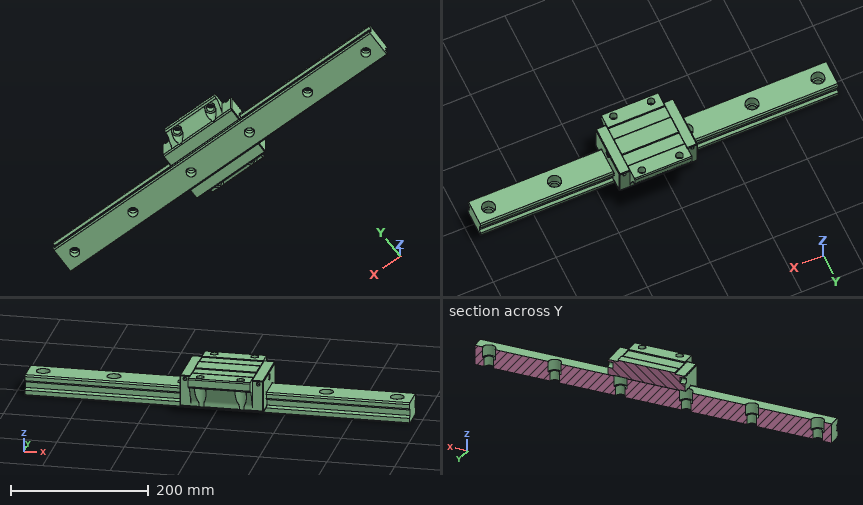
import cadquery as cq

rail_length = 570.0
rail_width = 45.0
rail_height = 32.5
rail_top_chamfer = 2.0
waist_width = 36.5
head_side_bottom = 24.0
waist_top = 20.5
waist_bottom = 12.0
base_side_top = 9.0
base_chamfer = 2.0

rail_hole_count = 6
rail_hole_pitch = 105.0
rail_bore_diameter = 14.0
rail_counterbore_diameter = 20.0
rail_counterbore_depth = 17.0

carriage_x = 11.0
total_height = 60.0
carriage_bottom = base_side_top
carriage_width = 85.0
bottom_chamfer = 2.0
body_length = 91.0

flange_width = 120.0
flange_thickness = 15.5
flange_top_chamfer = 1.5
flange_bottom_chamfer = 3.0
slope_top_width = 106.0
slope_bottom = 18.0
flange_root_fillet = 5.5
slope_bottom_fillet = 11.5

groove_inner = 13.5
groove_outer = 35.5
groove_depth = 1.0

bolt_spacing_x = 60.0
bolt_spacing_y = 100.0
bolt_hole_diameter = 11.0
bolt_relief_diameter = 16.5

cap_length = 16.5
cap_top = 57.5
cap_top_chamfer = 1.0
cap_end_chamfer = 1.0
grease_hole_diameter = 8.5
grease_hole_z = 49.0
grease_hole_depth = 8.5
side_hole_diameter = 5.2
side_hole_z = 52.5
side_hole_spacing = 108.5
side_hole_depth = 5.5

flange_bottom = total_height - flange_thickness


def mirrored_prism(right_half, length, middle_x):
    """Extrude a Y-Z outline, given by its +Y half from bottom to top, along X."""
    left_half = [(-y, z) for y, z in reversed(right_half)]
    return (
        cq.Workplane("YZ", origin=(middle_x - length / 2, 0, 0))
        .polyline(right_half + left_half)
        .close()
        .extrude(length)
    )


def rail_blank():
    """Rail without its holes; the carriage opening has the same outline."""
    side = rail_width / 2
    waist = waist_width / 2
    right_half = [
        (side - base_chamfer, 0),
        (side, base_chamfer),
        (side, base_side_top),
        (waist, waist_bottom),
        (waist, waist_top),
        (side, head_side_bottom),
        (side, rail_height - rail_top_chamfer),
        (side - rail_top_chamfer, rail_height),
    ]
    return mirrored_prism(right_half, rail_length, 0)


def make_rail():
    return (
        rail_blank()
        .faces(">Z")
        .workplane(origin=(0, 0, rail_height))
        .rarray(rail_hole_pitch, 5.5, rail_hole_count, 1)
        .cboreHole(rail_bore_diameter, rail_counterbore_diameter, rail_counterbore_depth)
    )


def fillet_long_edges(solid, y, z, radius):
    """Round the pair of edges that run along X at +y and -y, at height z."""
    for side_y in (-y, y):
        nearest = cq.selectors.NearestToPointSelector((carriage_x, side_y, z))
        solid = solid.edges("|X").edges(nearest).fillet(radius)
    return solid


def body_blank():
    """Flanged block whose sides slope inward below the flanges."""
    side = carriage_width / 2
    flange_side = flange_width / 2
    right_half = [
        (side - bottom_chamfer, carriage_bottom),
        (side, carriage_bottom + bottom_chamfer),
        (side, slope_bottom),
        (slope_top_width / 2, flange_bottom),
        (flange_side - flange_bottom_chamfer, flange_bottom),
        (flange_side, flange_bottom + flange_bottom_chamfer),
        (flange_side, total_height - flange_top_chamfer),
        (flange_side - flange_top_chamfer, total_height),
    ]
    blank = mirrored_prism(right_half, body_length, carriage_x)
    blank = fillet_long_edges(blank, slope_top_width / 2, flange_bottom, flange_root_fillet)
    return fillet_long_edges(blank, side, slope_bottom, slope_bottom_fillet)


def top_groove(side):
    """Groove on one side of the middle; side is -1 or 1 along Y."""
    floor_z = total_height - groove_depth
    outline = [
        (side * groove_inner, total_height),
        (side * (groove_inner + groove_depth), floor_z),
        (side * (groove_outer - groove_depth), floor_z),
        (side * groove_outer, total_height),
    ]
    return (
        cq.Workplane("YZ", origin=(carriage_x - body_length / 2, 0, 0))
        .polyline(outline)
        .close()
        .extrude(body_length)
    )


def bolt_cylinders(diameter, top):
    """Vertical cylinders on the four bolt axes, from the rail's underside up to a height."""
    return (
        cq.Workplane("XY", origin=(carriage_x, 0, 0))
        .rarray(bolt_spacing_x, bolt_spacing_y, 2, 2)
        .circle(diameter / 2)
        .extrude(top)
    )


def carriage_body():
    body = body_blank()
    for side in (-1, 1):
        body = body.cut(top_groove(side))
    body = body.cut(bolt_cylinders(bolt_relief_diameter, flange_bottom))
    return body.cut(bolt_cylinders(bolt_hole_diameter, total_height))


def end_cap(direction):
    """Cap on one end of the body; direction is -1 or 1 along X."""
    side = carriage_width / 2
    middle_x = carriage_x + direction * (body_length + cap_length) / 2
    outer_x = middle_x + direction * cap_length / 2
    right_half = [
        (side - bottom_chamfer, carriage_bottom),
        (side, carriage_bottom + bottom_chamfer),
        (side, cap_top - cap_top_chamfer),
        (side - cap_top_chamfer, cap_top),
    ]
    cap = (
        mirrored_prism(right_half, cap_length, middle_x)
        .faces(">X" if direction > 0 else "<X")
        .chamfer(cap_end_chamfer)
    )
    grease_hole = (
        cq.Workplane("YZ", origin=(outer_x, 0, grease_hole_z))
        .circle(grease_hole_diameter / 2)
        .extrude(-direction * grease_hole_depth)
    )
    cap = cap.cut(grease_hole)

    side_hole_x = carriage_x + direction * side_hole_spacing / 2
    for side_y in (-side, side):
        inward = side_hole_depth if side_y > 0 else -side_hole_depth
        side_hole = (
            cq.Workplane("XZ", origin=(side_hole_x, side_y, side_hole_z))
            .circle(side_hole_diameter / 2)
            .extrude(inward)
        )
        cap = cap.cut(side_hole)
    return cap


def make_carriage():
    carriage = carriage_body()
    for direction in (-1, 1):
        carriage = carriage.union(end_cap(direction))
    return carriage.cut(rail_blank())


rail = make_rail()
carriage = make_carriage()

result = cq.Compound.makeCompound([rail.val(), *carriage.vals()])